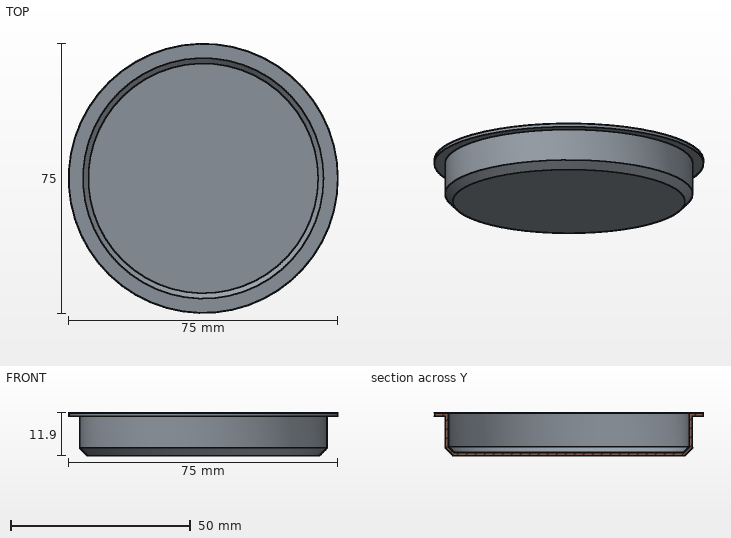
import cadquery as cq

flange_diameter = 75.0
body_diameter = 69.0
bore_diameter = 67.0
height = 11.9
flange_thickness = 1.0
floor_thickness = 1.0
outer_chamfer = 2.2
inner_chamfer = 1.5

body = (
    cq.Workplane("XY")
    .circle(body_diameter / 2)
    .extrude(height)
    .faces("<Z")
    .edges()
    .chamfer(outer_chamfer)
)

flange = (
    cq.Workplane("XY")
    .workplane(offset=height - flange_thickness)
    .circle(flange_diameter / 2)
    .extrude(flange_thickness)
)

cavity = (
    cq.Workplane("XY")
    .workplane(offset=floor_thickness)
    .circle(bore_diameter / 2)
    .extrude(height - floor_thickness)
    .faces("<Z")
    .edges()
    .chamfer(inner_chamfer)
)

result = body.union(flange).cut(cavity)